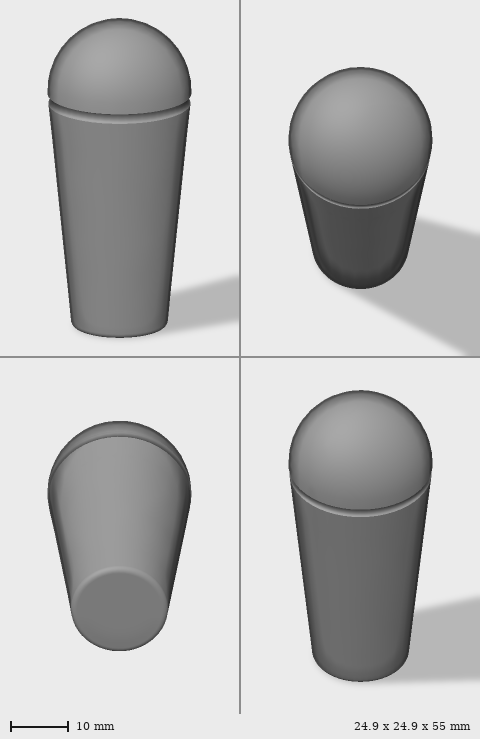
import cadquery as cq
import math

height = 55.0
ball_diameter = 24.95
ball_radius = ball_diameter / 2
ball_center_z = height - ball_radius

ball_bottom_z = 41.95
body_top_z = 40.2
groove_depth = 0.5

body_top_radius = 12.3
body_bottom_radius = 8.3
bottom_fillet = 1.0

ball_bottom_radius = math.sqrt(ball_radius**2 - (ball_center_z - ball_bottom_z) ** 2)
groove_middle = (body_top_radius - groove_depth, (ball_bottom_z + body_top_z) / 2)

profile = (
    cq.Workplane("XZ")
    .lineTo(body_bottom_radius, 0)
    .lineTo(body_top_radius, body_top_z)
    .threePointArc(groove_middle, (ball_bottom_radius, ball_bottom_z))
    .threePointArc((ball_radius, ball_center_z), (0, height))
    .close()
)
knob = profile.revolve(360, (0, 0, 0), (0, 1, 0))

result = knob.faces("<Z").edges().fillet(bottom_fillet)